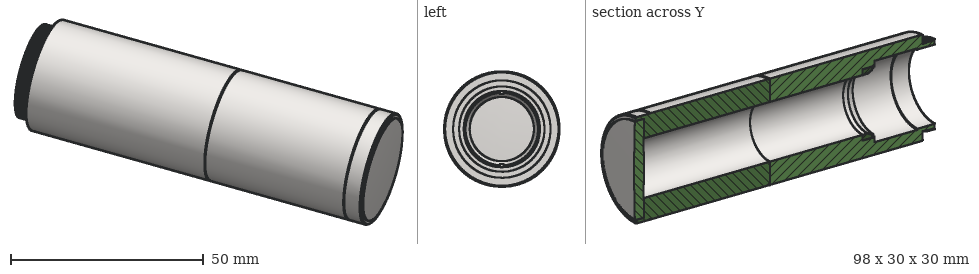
import cadquery as cq
import math


THREAD_END = 2.9
SHOULDER = 3.9
MOUTH_END = 5.8
RING_FACE = 19.6
BARREL_JOINT = 53.8
GROOVE_CENTRE = 92.7
BARREL_FRONT = 97.4
LENS_RIM = 97.7
LENGTH = 98.0

BARREL_RADIUS = 15.0
LENS_RADIUS = 13.8
CREST_RADIUS = 12.6
NECK_RADIUS = 12.35
RELIEF_RADIUS = 11.4
MOUTH_RADIUS = 11.1
RING_RADIUS = 9.9
CONE_RADIUS = 9.4
APERTURE_RADIUS = 8.3

THREAD_COUNT = 5
CREST_WIDTH = 0.2
EDGE_CHAMFER = 0.3
GROOVE_DEPTH = 0.15
RING_THICKNESS = 3.9
CONE_DEPTH = 2.4
SLOT_WIDTH = 0.9
SLOT_DEPTH = 0.8
LENS_EDGE = 2.9
REAR_SAG = 0.3

RING_FRONT = RING_FACE + RING_THICKNESS
LENS_SEAT = LENS_RIM - LENS_EDGE
FRONT_SAG = LENGTH - LENS_RIM
AXIS = cq.Vector(1, 0, 0)


def revolve_profile(profile):
    """Close a half profile drawn in (x, radius) and turn it around the X axis."""
    return profile.close().revolve(360, (0, 0, 0), (1, 0, 0))


def cylinder(radius, start, end):
    return cq.Workplane("YZ", origin=(start, 0, 0)).circle(radius).extrude(end - start)


def arc_middle_height(sag, half_width):
    """Height above its rim, at half the rim radius, of a spherical cap."""
    sphere_radius = (half_width**2 + sag**2) / (2 * sag)
    return math.sqrt(sphere_radius**2 - (half_width / 2) ** 2) - (sphere_radius - sag)


def add_thread(profile):
    """Ring-shaped teeth, each a flat crest followed by a V groove."""
    pitch = THREAD_END / THREAD_COUNT
    for tooth in range(THREAD_COUNT):
        crest_start = tooth * pitch
        crest_end = crest_start + CREST_WIDTH
        next_crest = crest_start + pitch
        profile = (
            profile.lineTo(crest_start, CREST_RADIUS)
            .lineTo(crest_end, CREST_RADIUS)
            .lineTo((crest_end + next_crest) / 2, NECK_RADIUS)
        )
    return profile.lineTo(THREAD_END, CREST_RADIUS)


def make_rear_barrel():
    profile = add_thread(cq.Workplane("XY"))
    profile = (
        profile.lineTo(THREAD_END, NECK_RADIUS)
        .lineTo(SHOULDER, NECK_RADIUS)
        .lineTo(SHOULDER, BARREL_RADIUS - EDGE_CHAMFER)
        .lineTo(SHOULDER + EDGE_CHAMFER, BARREL_RADIUS)
        .lineTo(BARREL_JOINT, BARREL_RADIUS)
        .lineTo(BARREL_JOINT, 0)
    )
    return (
        revolve_profile(profile)
        .cut(cylinder(MOUTH_RADIUS, 0, MOUTH_END))
        .cut(cylinder(RELIEF_RADIUS, MOUTH_END, RING_FACE))
        .cut(cylinder(RING_RADIUS, RING_FACE, RING_FRONT))
        .cut(cylinder(APERTURE_RADIUS, RING_FRONT, BARREL_JOINT))
    )


def make_front_barrel():
    profile = (
        cq.Workplane("XY")
        .moveTo(BARREL_JOINT, 0)
        .lineTo(BARREL_JOINT, BARREL_RADIUS - EDGE_CHAMFER)
        .lineTo(BARREL_JOINT + EDGE_CHAMFER, BARREL_RADIUS)
        .lineTo(GROOVE_CENTRE - GROOVE_DEPTH, BARREL_RADIUS)
        .lineTo(GROOVE_CENTRE, BARREL_RADIUS - GROOVE_DEPTH)
        .lineTo(GROOVE_CENTRE + GROOVE_DEPTH, BARREL_RADIUS)
        .lineTo(BARREL_FRONT - EDGE_CHAMFER, BARREL_RADIUS)
        .lineTo(BARREL_FRONT, BARREL_RADIUS - EDGE_CHAMFER)
        .lineTo(BARREL_FRONT, 0)
    )
    return (
        revolve_profile(profile)
        .cut(cylinder(APERTURE_RADIUS, BARREL_JOINT, LENS_SEAT))
        .cut(cylinder(LENS_RADIUS, LENS_SEAT, BARREL_FRONT))
    )


def make_retaining_ring():
    """Ring with a conical mouth and two wrench slots across its rear face."""
    cone_base = cq.Vector(RING_FACE, 0, 0)
    cone = cq.Solid.makeCone(CONE_RADIUS, APERTURE_RADIUS, CONE_DEPTH, cone_base, AXIS)
    slot_centre = (RING_FACE + SLOT_DEPTH / 2, 0, 0)
    slots = cq.Workplane("XY", origin=slot_centre).box(SLOT_DEPTH, SLOT_WIDTH, 2 * RING_RADIUS)
    return (
        cylinder(RING_RADIUS, RING_FACE, RING_FRONT)
        .cut(cylinder(APERTURE_RADIUS, RING_FACE, RING_FRONT))
        .cut(cq.Workplane(cone))
        .cut(slots)
    )


def make_lens():
    """Biconvex lens, its rear face bulging into the aperture."""
    rear_middle = LENS_SEAT - arc_middle_height(REAR_SAG, APERTURE_RADIUS)
    front_middle = LENS_RIM + arc_middle_height(FRONT_SAG, LENS_RADIUS)
    profile = (
        cq.Workplane("XY")
        .moveTo(LENS_SEAT - REAR_SAG, 0)
        .threePointArc((rear_middle, APERTURE_RADIUS / 2), (LENS_SEAT, APERTURE_RADIUS))
        .lineTo(LENS_SEAT, LENS_RADIUS)
        .lineTo(LENS_RIM, LENS_RADIUS)
        .threePointArc((front_middle, LENS_RADIUS / 2), (LENGTH, 0))
    )
    return revolve_profile(profile)


rear_barrel = make_rear_barrel()
front_barrel = make_front_barrel()
retaining_ring = make_retaining_ring()
lens = make_lens()

result = cq.Compound.makeCompound(
    [rear_barrel.val(), front_barrel.val(), retaining_ring.val(), lens.val()]
)